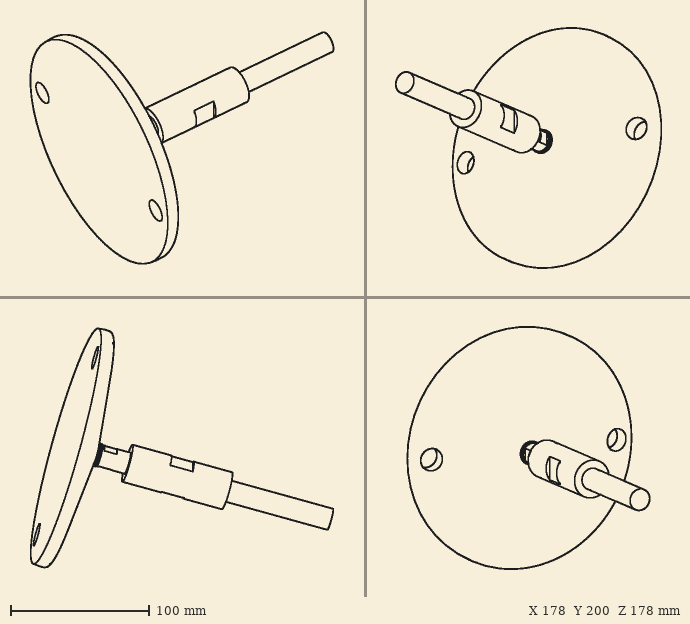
import cadquery as cq
import math


foot_radius = 178 / 2
sole_radius = 88.5
sole_taper_height = 4.2
cone_edge_height = 10.0
cone_top_height = 22.5
rim_fillet = 3.0

rib_radius = 8.5
rib_valley_radius = 7.5
rib_count = 2
collar_top = 25.5
rib_pitch = (collar_top - cone_top_height) / rib_count

hole_diameter = 16.5
hole_offset = 73.0
hole_cut_length = 40.0
cone_slope = math.atan2(cone_top_height - cone_edge_height, foot_radius - rib_radius)

spindle_radius = 16 / 2
spindle_top = 200.0
spindle_flat_start = 27.0
spindle_flat_length = 9.5
spindle_across_flats = 13.0

sleeve_radius = 28 / 2
sleeve_bottom = 46.5
sleeve_length = 75.5
sleeve_flat_length = 17.0
sleeve_flat_start = sleeve_bottom + (sleeve_length - sleeve_flat_length) / 2
sleeve_across_flats = 22.0


def rod(radius, start, length):
    """Cylinder along +Y."""
    return cq.Workplane(cq.Solid.makeCylinder(radius, length, cq.Vector(0, start, 0), cq.Vector(0, 1, 0)))


def cut_wrench_flats(body, radius, across_flats, start, length):
    """Cut a pair of flats facing -X and +X."""
    depth = radius - across_flats / 2
    for side in (-1, 1):
        cutter = cq.Workplane().box(depth, length, 2 * radius).translate(
            (side * (radius - depth / 2), start + length / 2, 0)
        )
        body = body.cut(cutter)
    return body


def make_foot_blank():
    """Revolve the conical disc and round its upper rim."""
    disc = (
        cq.Workplane("XY")
        .polyline([
            (0, 0),
            (sole_radius, 0),
            (foot_radius, sole_taper_height),
            (foot_radius, cone_edge_height),
            (rib_radius, cone_top_height),
            (0, cone_top_height),
        ])
        .close()
        .revolve(360, (0, 0, 0), (0, 1, 0))
    )
    cone_edges = disc.edges("%CIRCLE").sort(lambda edge: abs(edge.Center().y - cone_edge_height))
    return cone_edges[0].fillet(rim_fillet)


def make_collar():
    """Revolve the stack of V-shaped ribs."""
    profile = [(0, cone_top_height), (rib_valley_radius, cone_top_height)]
    for index in range(rib_count):
        rib_base = cone_top_height + index * rib_pitch
        profile.append((rib_radius, rib_base + rib_pitch / 2))
        profile.append((rib_valley_radius, rib_base + rib_pitch))
    profile.append((0, collar_top))
    return cq.Workplane("XY").polyline(profile).close().revolve(360, (0, 0, 0), (0, 1, 0))


def drill_fixing_holes(body):
    """Drill both inclined holes, each placed by its centre on the sole."""
    for side in (-1, 1):
        direction = cq.Vector(side * math.sin(cone_slope), math.cos(cone_slope), 0)
        sole_centre = cq.Vector(side * hole_offset, 0, 0)
        start = sole_centre - direction * (hole_cut_length / 2)
        drill = cq.Solid.makeCylinder(hole_diameter / 2, hole_cut_length, start, direction)
        body = body.cut(cq.Workplane(drill))
    return body


def make_foot():
    return drill_fixing_holes(make_foot_blank().union(make_collar()))


def make_spindle():
    spindle = rod(spindle_radius, collar_top, spindle_top - collar_top)
    return cut_wrench_flats(
        spindle, spindle_radius, spindle_across_flats, spindle_flat_start, spindle_flat_length
    )


def make_sleeve():
    """Sleeve with a bore that fits the spindle."""
    sleeve = rod(sleeve_radius, sleeve_bottom, sleeve_length)
    sleeve = sleeve.cut(rod(spindle_radius, sleeve_bottom, sleeve_length))
    return cut_wrench_flats(
        sleeve, sleeve_radius, sleeve_across_flats, sleeve_flat_start, sleeve_flat_length
    )


foot = make_foot()
spindle = make_spindle()
sleeve = make_sleeve()

result = cq.Compound.makeCompound([*foot.solids().vals(), *spindle.solids().vals(), *sleeve.solids().vals()])